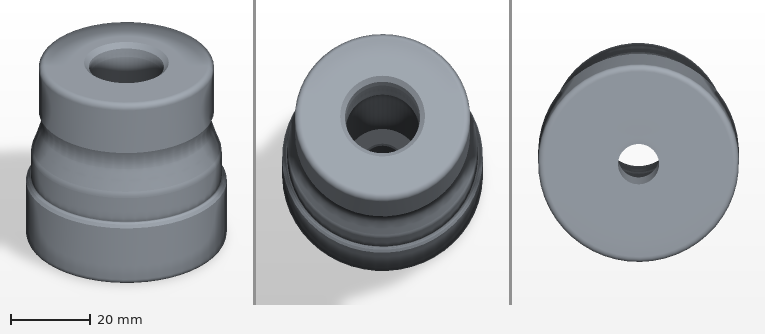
import cadquery as cq
import math

base_radius = 25.4
total_height = 50.3

base_height = 17.65
base_bottom_fillet = 1.5
bevel_start_height = 16.4
bevel_top_height = 17.2
bevel_top_radius = 24.9
rim_radius = 24.5
floor_height = 10.15
hole_radius = 5.2
hole_chamfer = 0.4

post_radius = 24.15
head_radius = 22.2
head_fillet = 1.5
shoulder_height = 24.45
shoulder_blend_top = 26.05
shoulder_blend_radius = 23.7
cone_top_height = 31.6
cone_top_radius = 21.85
neck_radius = 21.55
neck_height = 34.0
head_bottom_height = 36.4

bore_radius = 9.25
relief_radius = 9.5
mouth_chamfer = 1.2
lead_in_length = 2.3
narrow_length = 7.5
relief_length = 0.95
lead_in_top = total_height - mouth_chamfer
narrow_top = lead_in_top - lead_in_length
narrow_bottom = narrow_top - narrow_length
relief_bottom = narrow_bottom - relief_length


def arc_point(center_x, center_z, radius, degrees):
    """Point on a circle in the (radius, height) half plane."""
    angle = math.radians(degrees)
    return center_x + radius * math.cos(angle), center_z + radius * math.sin(angle)


def revolve_about_z(profile):
    """Turn a closed (radius, height) profile into a solid of revolution."""
    return profile.close().revolve(360, (0, 0, 0), (0, 1, 0))


def make_base():
    fillet_mid = arc_point(base_radius - base_bottom_fillet, base_bottom_fillet, base_bottom_fillet, -45)
    profile = (
        cq.Workplane("XZ")
        .moveTo(hole_radius, 0)
        .lineTo(base_radius - base_bottom_fillet, 0)
        .threePointArc(fillet_mid, (base_radius, base_bottom_fillet))
        .lineTo(base_radius, bevel_start_height)
        .lineTo(bevel_top_radius, bevel_top_height)
        .lineTo(rim_radius, base_height)
        .lineTo(post_radius, base_height)
        .lineTo(post_radius, floor_height)
        .lineTo(hole_radius + hole_chamfer, floor_height)
        .lineTo(hole_radius, floor_height - hole_chamfer)
    )
    return revolve_about_z(profile)


def make_post():
    fillet_mid = arc_point(head_radius - head_fillet, total_height - head_fillet, head_fillet, 45)
    profile = (
        cq.Workplane("XZ")
        .moveTo(relief_radius, floor_height)
        .lineTo(post_radius, floor_height)
        .lineTo(post_radius, shoulder_height)
        .tangentArcPoint((shoulder_blend_radius, shoulder_blend_top), relative=False)
        .lineTo(cone_top_radius, cone_top_height)
        .threePointArc((neck_radius, neck_height), (head_radius, head_bottom_height))
        .lineTo(head_radius, total_height - head_fillet)
        .threePointArc(fillet_mid, (head_radius - head_fillet, total_height))
        .lineTo(relief_radius + mouth_chamfer, total_height)
        .lineTo(relief_radius, lead_in_top)
        .lineTo(bore_radius, narrow_top)
        .lineTo(bore_radius, narrow_bottom)
        .lineTo(relief_radius, relief_bottom)
    )
    return revolve_about_z(profile)


base = make_base()
post = make_post()
result = cq.Compound.makeCompound([base.val(), post.val()])